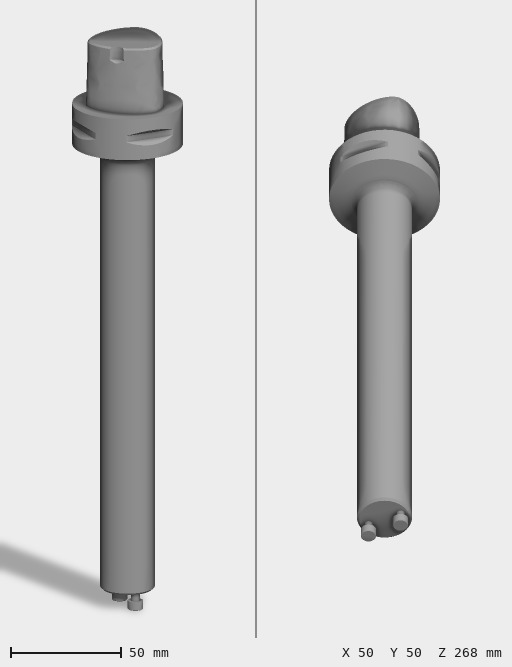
import cadquery as cq
import math

total_height = 268.0
flange_top = 237.5
flange_bottom = 218.2
cone_bottom = 214.5
shaft_bottom = 7.8

flange_radius = 50.0 / 2
shaft_radius = 25.0 / 2
neck_fillet = 3.0
shaft_chamfer = 1.0

lobe_rise = 1.3
shank_base_radius = 17.7
shank_top_radius = 17.0
shank_chamfer = 0.8
outline_points = 48

notch_radius = 4.0
notch_wall_depth = 6.0
notch_tip_depth = 8.5
notch_center_y = -17.7

groove_mouth = 7.0
groove_floor = 3.0
groove_depth = 3.0
groove_height = 228.0
groove_angles = (45, 135, 225, 315)

bolt_offset = 5.5
bolt_stem_radius = 4.0 / 2
bolt_head_radius = 7.0 / 2
bolt_head_height = 4.0
bolt_head_chamfer = 0.3


def make_body():
    """Revolve the shaft, the conical neck and the flange in one profile."""
    body = (
        cq.Workplane("XZ")
        .moveTo(0, shaft_bottom)
        .lineTo(shaft_radius - shaft_chamfer, shaft_bottom)
        .lineTo(shaft_radius, shaft_bottom + shaft_chamfer)
        .lineTo(shaft_radius, cone_bottom)
        .lineTo(flange_radius, flange_bottom)
        .lineTo(flange_radius, flange_top)
        .lineTo(0, flange_top)
        .close()
        .revolve(360, (0, 0, 0), (0, 1, 0))
    )
    neck_edge = cq.selectors.BoxSelector(
        (-shaft_radius, -shaft_radius, cone_bottom - neck_fillet / 2),
        (shaft_radius, shaft_radius, cone_bottom + neck_fillet / 2),
        boundingbox=False,
    )
    return body.edges("%CIRCLE").edges(neck_edge).fillet(neck_fillet)


def lobe_point(mean_radius, step):
    """Point on a curve whose tangents lie at mean_radius + lobe_rise * cos(3 * angle)."""
    angle = 2 * math.pi * step / outline_points
    reach = mean_radius + lobe_rise * math.cos(3 * angle)
    slope = -3 * lobe_rise * math.sin(3 * angle)
    along = reach * math.cos(angle) - slope * math.sin(angle)
    across = reach * math.sin(angle) + slope * math.cos(angle)
    return (-across, along)


def lobed_wire(mean_radius, height):
    points = [lobe_point(mean_radius, step) for step in range(outline_points)]
    outline = cq.Workplane("XY", origin=(0, 0, height)).spline(points, periodic=True)
    return cq.Wire.assembleEdges(outline.vals())


def loft_between(lower, upper):
    return cq.Workplane(cq.Solid.makeLoft([lower, upper], True))


def make_shank():
    chamfer_start = total_height - shank_chamfer
    base = lobed_wire(shank_base_radius, flange_top)
    shoulder = lobed_wire(shank_top_radius, chamfer_start)
    top = lobed_wire(shank_top_radius - shank_chamfer, total_height)
    return loft_between(base, shoulder).union(loft_between(shoulder, top))


def make_notch():
    """Drill shape with a conical tip, opening through the -Y side of the shank."""
    return (
        cq.Workplane("XZ", origin=(0, notch_center_y, total_height))
        .polyline([
            (0, 0),
            (notch_radius, 0),
            (notch_radius, -notch_wall_depth),
            (0, -notch_tip_depth),
        ])
        .close()
        .revolve(360, (0, 0, 0), (0, 1, 0))
    )


def make_groove(angle):
    """Straight groove with sloping walls, cut across the flange rim."""
    floor = flange_radius - groove_depth
    return (
        cq.Workplane("XZ", origin=(0, 0, groove_height))
        .polyline([
            (floor, -groove_floor / 2),
            (flange_radius, -groove_mouth / 2),
            (flange_radius, groove_mouth / 2),
            (floor, groove_floor / 2),
        ])
        .close()
        .extrude(flange_radius, both=True)
        .rotate((0, 0, 0), (0, 0, 1), angle)
    )


def make_bolt(x, y):
    head = (
        cq.Workplane("XY")
        .circle(bolt_head_radius)
        .extrude(bolt_head_height)
        .faces("<Z")
        .chamfer(bolt_head_chamfer)
    )
    stem = (
        cq.Workplane("XY", origin=(0, 0, bolt_head_height))
        .circle(bolt_stem_radius)
        .extrude(shaft_bottom - bolt_head_height)
    )
    return head.union(stem).translate((x, y, 0))


result = make_body().union(make_shank().cut(make_notch()))
for groove_angle in groove_angles:
    result = result.cut(make_groove(groove_angle))
for side in (-1, 1):
    result = result.union(make_bolt(side * bolt_offset, -side * bolt_offset))